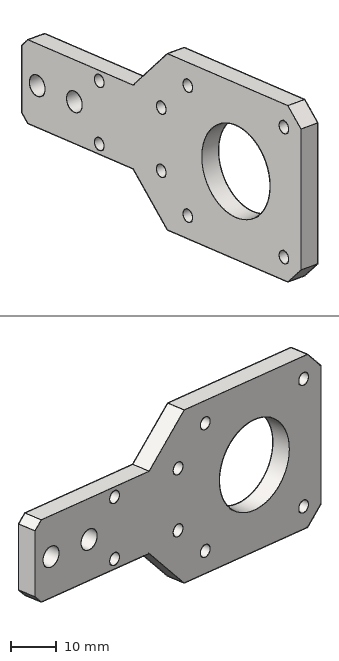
import cadquery as cq

length = 90.0
thickness = 5.0
head_height = 42.0

tail_length = 35.9
tail_height = 20.0
tail_chamfer = 2.0
head_chamfer = 4.2

mount_hole_diameter = 5.0
mount_hole_distances = (5.0, 17.0)
screw_hole_diameter = 3.1
tail_screw_distances = (25.0, 45.0)
tail_screw_spacing = 15.0
bore_diameter = 22.0
bore_distance = 69.0
head_screw_spacing = 31.0

tail_end = -length / 2
head_end = length / 2
taper_start = tail_end + tail_length
taper_end = taper_start + (head_height - tail_height) / 2


def make_plate():
    """Chamfered outline, mirrored about the X axis and extruded along Y."""
    half_tail = tail_height / 2
    half_head = head_height / 2
    upper_edge = [
        (tail_end, half_tail - tail_chamfer),
        (tail_end + tail_chamfer, half_tail),
        (taper_start, half_tail),
        (taper_end, half_head),
        (head_end - head_chamfer, half_head),
        (head_end, half_head - head_chamfer),
    ]
    lower_edge = [(x, -z) for x, z in reversed(upper_edge)]
    back_face = cq.Workplane("XZ", origin=(0, thickness / 2, 0))
    return back_face.polyline(upper_edge + lower_edge).close().extrude(thickness)


def make_drills(points, diameter):
    """Cylinders along Y that pass through the plate at the given XZ points."""
    back_face = cq.Workplane("XZ", origin=(0, thickness / 2, 0))
    return back_face.pushPoints(points).circle(diameter / 2).extrude(thickness)


mount_points = [(tail_end + distance, 0) for distance in mount_hole_distances]

tail_screw_points = [
    (tail_end + distance, side * tail_screw_spacing / 2)
    for distance in tail_screw_distances
    for side in (-1, 1)
]

bore_x = tail_end + bore_distance
head_screw_points = [
    (bore_x + side_x * head_screw_spacing / 2, side_z * head_screw_spacing / 2)
    for side_x in (-1, 1)
    for side_z in (-1, 1)
]

result = (
    make_plate()
    .cut(make_drills(mount_points, mount_hole_diameter))
    .cut(make_drills(tail_screw_points + head_screw_points, screw_hole_diameter))
    .cut(make_drills([(bore_x, 0)], bore_diameter))
)